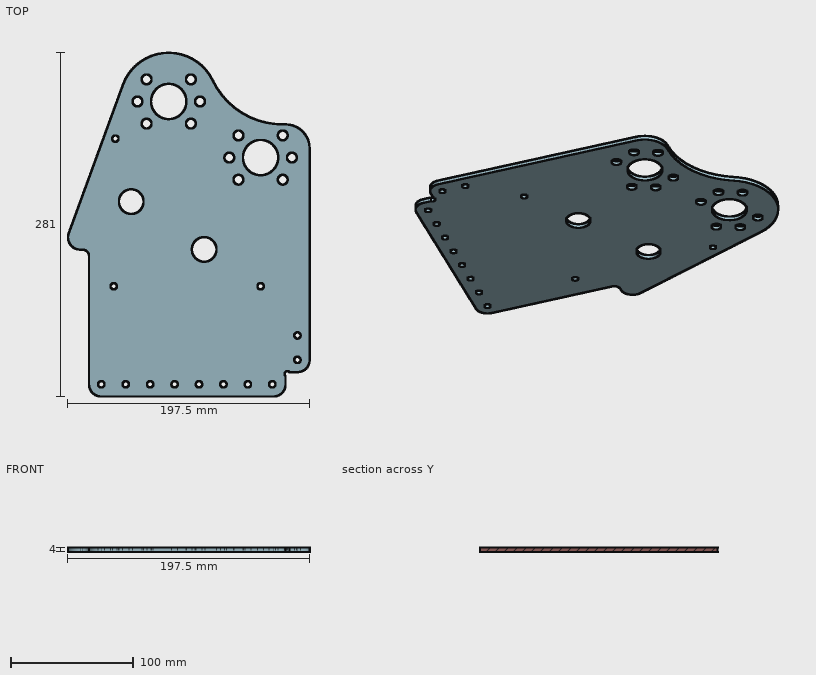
import cadquery as cq
import math

width = 197.5
length = 281.0
thickness = 4.0

body_left = 17.0
notch_x = 177.8
notch_y = 20.0
relief_radius = 2.2
relief_offset = 1.5
corner_radius = 10.0
ear_bottom = 120.0
ear_fillet = 5.0
ear_center = (corner_radius, ear_bottom + corner_radius)
lobe_radius = 40.0
lobe_center = (82.3, length - lobe_radius)
shoulder_radius = 20.0
shoulder_center = (width - shoulder_radius, 202.5)
saddle_radius = 63.0

hub_centers = [lobe_center, (157.3, 195.3)]
hub_diameter = 28.7
bolt_circle_radius = 25.5
bolt_diameter = 8.0
bolt_angles = [0, 45, 135, 180, 225, 315]
shaft_centers = [(51.7, 159.3), (111.3, 120.3)]
shaft_diameter = 20.0
screw_diameter = 5.0
edge_offset = 10.0
screw_pitch = 20.0
bottom_screw_count = 8
side_screw_count = 2
inner_screw_centers = [(38.8, 210.7), (37.5, 90.2), (157.3, 90.2)]


def polar(center, radius, angle):
    """Point on a circle at an angle in radians."""
    return (center[0] + radius * math.cos(angle), center[1] + radius * math.sin(angle))


def direction(start, end):
    """Angle in radians of the line from start to end."""
    return math.atan2(end[1] - start[1], end[0] - start[0])


def saddle_center():
    """Center of the concave arc that touches both the lobe and the shoulder."""
    to_lobe = lobe_radius + saddle_radius
    to_shoulder = shoulder_radius + saddle_radius
    span = math.dist(lobe_center, shoulder_center)
    cosine = (to_lobe**2 + span**2 - to_shoulder**2) / (2 * to_lobe * span)
    angle = direction(lobe_center, shoulder_center) + math.acos(cosine)
    return polar(lobe_center, to_lobe, angle)


def fillet_corner(solid, x, y, radius):
    corner = cq.selectors.NearestToPointSelector((x, y, thickness / 2))
    return solid.edges("|Z").edges(corner).fillet(radius)


def make_plate():
    ear_to_lobe = math.dist(ear_center, lobe_center)
    tilt = math.asin((lobe_radius - corner_radius) / ear_to_lobe)
    slant_normal = direction(ear_center, lobe_center) + math.pi / 2 + tilt
    ear_middle = (slant_normal + 1.5 * math.pi) / 2

    saddle = saddle_center()
    lobe_end = direction(lobe_center, saddle)
    shoulder_start = direction(shoulder_center, saddle)
    saddle_middle = (lobe_end + shoulder_start) / 2 + math.pi

    plate = (
        cq.Workplane("XY")
        .moveTo(body_left, 0)
        .lineTo(notch_x, 0)
        .lineTo(notch_x, notch_y)
        .lineTo(width, notch_y)
        .lineTo(width, shoulder_center[1])
        .threePointArc(
            polar(shoulder_center, shoulder_radius, shoulder_start / 2),
            polar(shoulder_center, shoulder_radius, shoulder_start),
        )
        .threePointArc(
            polar(saddle, saddle_radius, saddle_middle),
            polar(lobe_center, lobe_radius, lobe_end),
        )
        .threePointArc(
            polar(lobe_center, lobe_radius, (lobe_end + slant_normal) / 2),
            polar(lobe_center, lobe_radius, slant_normal),
        )
        .lineTo(*polar(ear_center, corner_radius, slant_normal))
        .threePointArc(
            polar(ear_center, corner_radius, ear_middle),
            (ear_center[0], ear_bottom),
        )
        .lineTo(body_left, ear_bottom)
        .close()
        .extrude(thickness)
    )

    for x, y in [(body_left, 0), (notch_x, 0), (width, notch_y)]:
        plate = fillet_corner(plate, x, y, corner_radius)
    return fillet_corner(plate, body_left, ear_bottom, ear_fillet)


def drill(plate, centers, diameter):
    cutters = cq.Workplane("XY").pushPoints(centers).circle(diameter / 2).extrude(thickness)
    return plate.cut(cutters)


bolt_centers = [
    polar(hub, bolt_circle_radius, math.radians(angle))
    for hub in hub_centers
    for angle in bolt_angles
]
bottom_screws = [
    (body_left + edge_offset + i * screw_pitch, edge_offset) for i in range(bottom_screw_count)
]
side_screws = [
    (width - edge_offset, notch_y + edge_offset + i * screw_pitch) for i in range(side_screw_count)
]

result = make_plate()
relief_center = (notch_x + relief_offset, notch_y - relief_offset)
result = drill(result, [relief_center], 2 * relief_radius)
result = drill(result, hub_centers, hub_diameter)
result = drill(result, bolt_centers, bolt_diameter)
result = drill(result, shaft_centers, shaft_diameter)
result = drill(result, bottom_screws + side_screws + inner_screw_centers, screw_diameter)